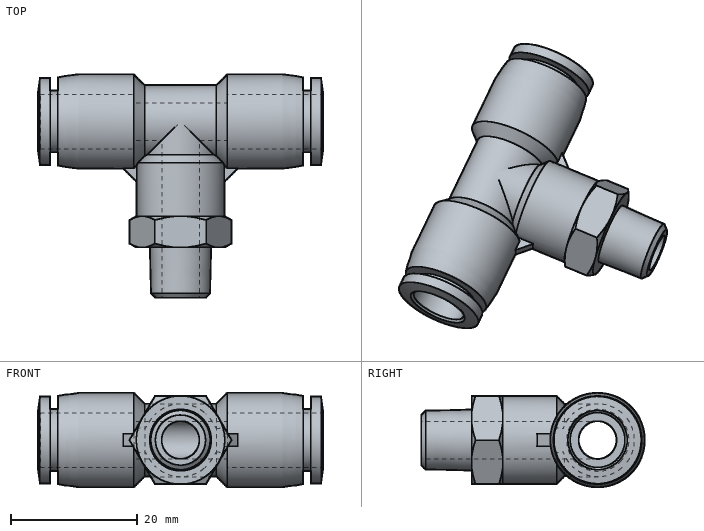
import cadquery as cq
import math

half_length = 22.6
overall_depth = 35.5
bore_radius = 3.0
run_radius = 5.8
sleeve_radius = 7.5
sleeve_start = 5.7
sleeve_full = sleeve_start + sleeve_radius - run_radius
sleeve_taper = 16.15
sleeve_step = 18.25
sleeve_step_radius = 7.25
sleeve_end = 19.45
sleeve_end_radius = 7.0

collar_start = 20.65
collar_radius = 6.9
collar_rim = 22.3
collar_face_radius = 4.7
collar_neck_radius = 4.93
socket_radius = 4.35
socket_lead_in = collar_face_radius - socket_radius
socket_floor = sleeve_full

branch_radius = 7.0
shoulder_start = 5.3
shoulder_end = shoulder_start + branch_radius - run_radius
hex_start = 15.0
hex_end = 20.0
hex_flat_radius = branch_radius
hex_sides = 6
hex_chamfer_angle = 30.0
thread_end = overall_depth - sleeve_radius
thread_root_radius = 4.9
thread_tip_radius = 4.7
thread_chamfer = 0.72

web_thickness = 2.0
web_leg_sum = 16.55


def revolve_about_x(points):
    """Solid of revolution from (axial position, radius) points."""
    return cq.Workplane("XY").polyline(points).close().revolve(360, (0, 0, 0), (1, 0, 0))


def revolve_branch(points):
    """Solid of revolution about -Y from (distance, radius) points."""
    profile = [(radius, -distance) for distance, radius in points]
    return cq.Workplane("XY").polyline(profile).close().revolve(360, (0, 0, 0), (0, 1, 0))


def make_run_half():
    return revolve_about_x([
        (0, 0),
        (0, run_radius),
        (sleeve_start, run_radius),
        (sleeve_full, sleeve_radius),
        (sleeve_taper, sleeve_radius),
        (sleeve_step, sleeve_step_radius),
        (sleeve_end, sleeve_end_radius),
        (sleeve_end, collar_neck_radius),
        (collar_start, collar_neck_radius),
        (collar_start, collar_radius),
        (collar_rim, collar_radius),
        (half_length, collar_face_radius),
        (half_length, 0),
    ])


def make_socket():
    return revolve_about_x([
        (socket_floor, 0),
        (socket_floor, socket_radius),
        (half_length - socket_lead_in, socket_radius),
        (half_length, collar_face_radius),
        (half_length, 0),
    ])


def make_branch():
    return revolve_branch([
        (0, 0),
        (0, run_radius),
        (shoulder_start, run_radius),
        (shoulder_end, branch_radius),
        (hex_end, branch_radius),
        (hex_end, thread_root_radius),
        (thread_end - thread_chamfer, thread_tip_radius),
        (thread_end, thread_tip_radius - thread_chamfer),
        (thread_end, 0),
    ])


def make_hexagon():
    """Hexagon with corners on X, its corners coned off at both ends."""
    corner_radius = hex_flat_radius / math.cos(math.pi / hex_sides)
    cone_depth = (corner_radius - hex_flat_radius) * math.tan(math.radians(hex_chamfer_angle))
    prism = (
        cq.Workplane("XZ", origin=(0, -hex_start, 0))
        .polygon(hex_sides, 2 * corner_radius)
        .extrude(hex_end - hex_start)
    )
    cones = revolve_branch([
        (hex_start, 0),
        (hex_start, hex_flat_radius),
        (hex_start + cone_depth, corner_radius),
        (hex_end - cone_depth, corner_radius),
        (hex_end, hex_flat_radius),
        (hex_end, 0),
    ])
    return prism.intersect(cones)


def make_web():
    """Triangular plate whose 45 degree edge bridges branch and sleeve."""
    buried_corner = run_radius
    tip = web_leg_sum - buried_corner
    return (
        cq.Workplane("XY")
        .polyline([
            (buried_corner, -buried_corner),
            (tip, -buried_corner),
            (buried_corner, -tip),
        ])
        .close()
        .extrude(web_thickness / 2, both=True)
    )


body = make_branch().union(make_hexagon())
for half_part in (make_run_half(), make_web()):
    body = body.union(half_part).union(half_part.mirror("YZ"))

socket = make_socket()
run_bore = cq.Workplane("YZ").circle(bore_radius).extrude(half_length, both=True)
branch_bore = cq.Workplane("XZ").circle(bore_radius).extrude(thread_end)

result = body.cut(socket).cut(socket.mirror("YZ")).cut(run_bore).cut(branch_bore)